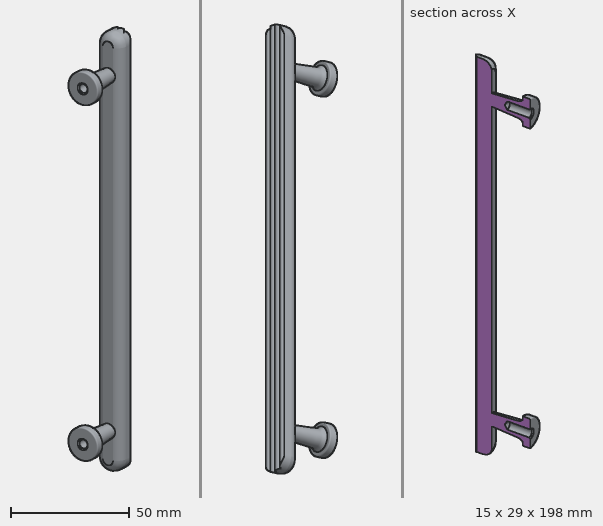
import cadquery as cq
import math


bar_length = 198.0
bar_width = 12.5
bar_depth = 9.1
handle_projection = 29.0
post_spacing = 160.0

flat_width = 5.1
front_round_depth = 4.5
reed_radius = 1.5
reed_count = 4

flange_diameter = 15.0
flange_thickness = 4.2
flange_edge_round = 0.5
flare_round = 3.0
flare_start_diameter = 11.0
flare_end_diameter = 8.7
flare_length = 2.4
neck_diameter = 7.0
post_embed = 1.0

screw_diameter = 4.0
screw_depth = 11.9
countersink_diameter = 5.1
drill_point_angle = 118.0

half_width = bar_width / 2
half_flat = flat_width / 2
bar_back = handle_projection
bar_front = bar_back - bar_depth
split_y = bar_front + front_round_depth
groove_y = bar_back - reed_radius
cap_center_z = bar_length / 2 - half_width

round_run = half_width - half_flat
round_radius = (round_run**2 + front_round_depth**2) / (2 * round_run)
round_center_x = half_width - round_radius
round_end_angle = math.asin(front_round_depth / round_radius)
round_mid_x = round_center_x + round_radius * math.cos(round_end_angle / 2)
round_mid_y = split_y - round_radius * math.sin(round_end_angle / 2)


def half_section():
    """Right half of the bar outline without reeds, closed on the Y axis."""
    return (
        cq.Workplane("XY")
        .moveTo(0, bar_front)
        .lineTo(half_flat, bar_front)
        .threePointArc((round_mid_x, round_mid_y), (half_width, split_y))
        .lineTo(half_width, bar_back)
        .lineTo(0, bar_back)
        .close()
    )


def bar_blank():
    """Straight bar with ends made by turning its half section about Y."""
    half_bar = half_section().extrude(2 * cap_center_z).translate((0, 0, -cap_center_z))
    blank = half_bar.union(half_bar.mirror("YZ"))
    cap = half_section().revolve(360, (0, 0, 0), (0, 1, 0))
    for side in (-1, 1):
        blank = blank.union(cap.translate((0, 0, side * cap_center_z)))
    return blank


def reed_envelope():
    """Full-length prism whose back is a row of half-round reeds, slightly wider than the bar."""
    reed_width = 2 * reed_radius
    left_edge = -reed_count * reed_radius
    outline = (
        cq.Workplane("XY")
        .moveTo(-left_edge, bar_front)
        .lineTo(left_edge, bar_front)
        .lineTo(left_edge, groove_y)
    )
    for index in range(reed_count):
        reed_left = left_edge + index * reed_width
        outline = outline.threePointArc(
            (reed_left + reed_radius, bar_back),
            (reed_left + reed_width, groove_y),
        )
    prism = outline.close().extrude(bar_length)
    return prism.translate((0, 0, -bar_length / 2))


def post():
    """Tapered post with a concave flare and a round-edged flange, turned about Y."""
    flange_radius = flange_diameter / 2
    flare_start_radius = flare_start_diameter / 2
    flare_end_radius = flare_end_diameter / 2
    flare_end_y = flange_thickness + flare_length
    edge = flange_edge_round
    return (
        cq.Workplane("XY")
        .lineTo(flange_radius - edge, 0)
        .radiusArc((flange_radius, edge), -edge)
        .lineTo(flange_radius, flange_thickness - edge)
        .radiusArc((flange_radius - edge, flange_thickness), -edge)
        .lineTo(flare_start_radius, flange_thickness)
        .radiusArc((flare_end_radius, flare_end_y), flare_round)
        .lineTo(neck_diameter / 2, bar_front)
        .lineTo(neck_diameter / 2, bar_front + post_embed)
        .lineTo(0, bar_front + post_embed)
        .close()
        .revolve(360, (0, 0, 0), (0, 1, 0))
    )


def screw_hole():
    """Blind drilled hole with a 90 degree countersink at the mounting face."""
    screw_radius = screw_diameter / 2
    countersink_radius = countersink_diameter / 2
    countersink_depth = countersink_radius - screw_radius
    point_length = screw_radius / math.tan(math.radians(drill_point_angle / 2))
    return (
        cq.Workplane("XY")
        .lineTo(countersink_radius, 0)
        .lineTo(screw_radius, countersink_depth)
        .lineTo(screw_radius, screw_depth)
        .lineTo(0, screw_depth + point_length)
        .close()
        .revolve(360, (0, 0, 0), (0, 1, 0))
    )


handle = bar_blank().intersect(reed_envelope())
for side in (-1, 1):
    post_z = side * post_spacing / 2
    handle = handle.union(post().translate((0, 0, post_z)))
    handle = handle.cut(screw_hole().translate((0, 0, post_z)))

result = handle.solids()